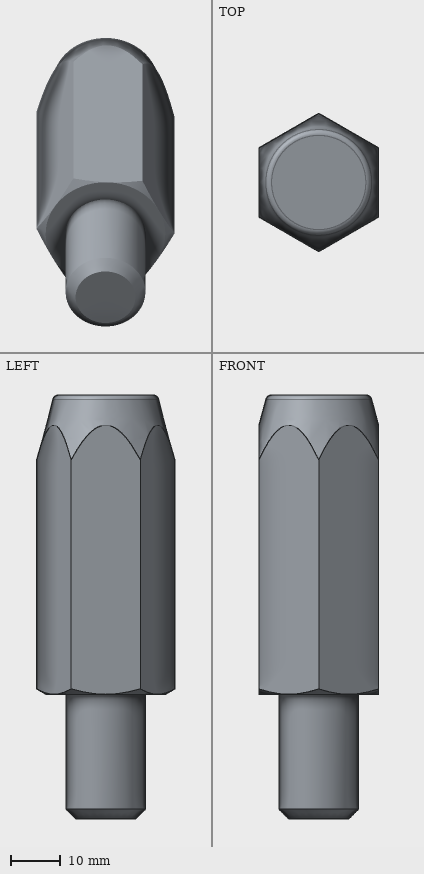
import cadquery as cq
import math

HEX_SIDES = 6
ACROSS_FLATS = 24.0
BODY_LENGTH = 60.0
FLAT_RADIUS = ACROSS_FLATS / 2
CORNER_RADIUS = FLAT_RADIUS / math.cos(math.pi / HEX_SIDES)
CORNER_DIRECTION = 30.0

TAPER_ANGLE = 15.0
TAPER_HEIGHT = 13.0
TAPER_TOP_RADIUS = CORNER_RADIUS - TAPER_HEIGHT * math.tan(math.radians(TAPER_ANGLE))
RIM_FILLET = 1.2

LOWER_CHAMFER_ANGLE = 30.0
LOWER_CHAMFER_DEPTH = CORNER_RADIUS - FLAT_RADIUS
LOWER_CHAMFER_HEIGHT = LOWER_CHAMFER_DEPTH * math.tan(math.radians(LOWER_CHAMFER_ANGLE))

STUD_DIAMETER = 16.0
STUD_LENGTH = 25.0
STUD_CHAMFER = 2.0


def turned_envelope():
    """Round solid that trims both ends of the hexagon: taper, rim and lower chamfer."""
    profile = (
        cq.Workplane("XZ")
        .moveTo(0, 0)
        .lineTo(FLAT_RADIUS, 0)
        .lineTo(CORNER_RADIUS, LOWER_CHAMFER_HEIGHT)
        .lineTo(CORNER_RADIUS, BODY_LENGTH - TAPER_HEIGHT)
        .lineTo(TAPER_TOP_RADIUS, BODY_LENGTH)
        .lineTo(0, BODY_LENGTH)
        .close()
    )
    turned = profile.revolve(360, (0, 0, 0), (0, 1, 0))
    return turned.faces(">Z").edges().fillet(RIM_FILLET)


def hexagonal_body():
    """Hexagonal bar with both ends turned."""
    hexagon = (
        cq.Workplane("XY")
        .polygon(HEX_SIDES, 2 * CORNER_RADIUS)
        .extrude(BODY_LENGTH)
        .rotate((0, 0, 0), (0, 0, 1), CORNER_DIRECTION)
    )
    return hexagon.intersect(turned_envelope())


def stud():
    """Plain round stud with a chamfered lower end."""
    shank = cq.Workplane("XY").circle(STUD_DIAMETER / 2).extrude(-STUD_LENGTH)
    return shank.faces("<Z").edges().chamfer(STUD_CHAMFER)


result = hexagonal_body().union(stud())